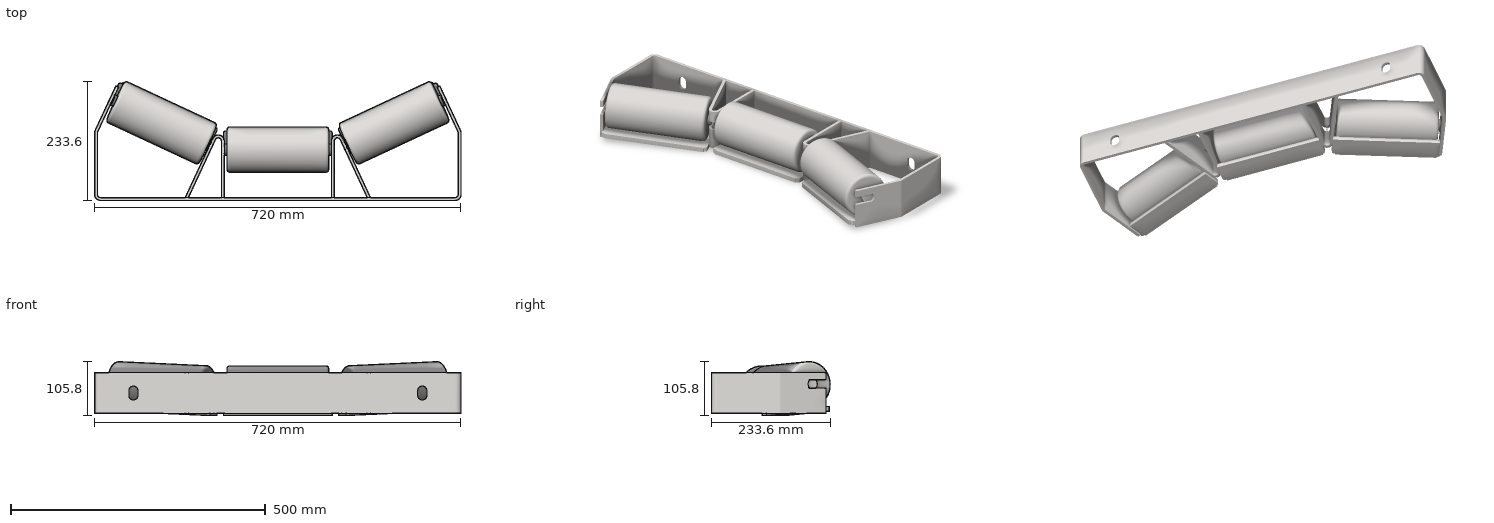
import cadquery as cq
import math

frame_length = 720.0
strip_height = 80.0
thickness = 6.0
bend_radius = 2 * thickness
arm_bend_y = 135.0
arm_tip_y = 225.0
lean_angle = 25.0

hole_offset = 284.0
hole_width = 18.0
hole_height = 27.0

bracket_top_y = 129.0

wall_gap = 210.0
drum_length = 200.0
drum_diameter = 89.0
drum_fillet = 6.0
axle_length = 214.0
axle_diameter = 22.0
axle_flats = 16.5
middle_axis_y = 100.0
middle_axis_z = 49.0
side_centre_x = 228.0
side_centre_y = 153.0
side_centre_z = 53.0
side_tilt = 2.4

guard_bottom = -53.0
guard_top = -44.0
guard_low_y = -1.0
guard_high_y = 39.5
ear_high_y = 37.0
ear_fillet = 4.0

drum_radius = drum_diameter / 2
lean = math.radians(lean_angle)
lean_sin = math.sin(lean)
lean_cos = math.cos(lean)
lean_tan = math.tan(lean)


def vertical_edges_at(body, x, y):
    """Select the edge parallel to Z through the given X and Y."""
    reach = 0.35
    return body.edges(cq.selectors.BoxSelector(
        (x - reach, y - reach, -strip_height), (x + reach, y + reach, 2 * strip_height)))


def make_strip():
    """Bent strip: flat base, two upright ends and two arms that lean inwards."""
    half = frame_length / 2
    inner_half = half - thickness
    inner_bend_y = arm_bend_y - thickness * math.tan(lean / 2)
    arm_rise = arm_tip_y - arm_bend_y
    tip_x = half - arm_rise * lean_tan
    right_half = [
        (0, 0),
        (half, 0),
        (half, arm_bend_y),
        (tip_x, arm_tip_y),
        (tip_x - thickness * lean_cos, arm_tip_y - thickness * lean_sin),
        (inner_half, inner_bend_y),
        (inner_half, thickness),
        (0, thickness),
    ]
    side = cq.Workplane("XY").polyline(right_half).close().extrude(strip_height)
    inner_radius = bend_radius - thickness
    bends = [
        (half, 0, bend_radius),
        (half, arm_bend_y, bend_radius),
        (inner_half, inner_bend_y, inner_radius),
        (inner_half, thickness, inner_radius),
    ]
    for x, y, radius in bends:
        side = vertical_edges_at(side, x, y).fillet(radius)
    strip = side.union(side.mirror("YZ"))
    holes = (
        cq.Workplane("XZ", origin=(0, 0, strip_height / 2))
        .pushPoints([(-hole_offset, 0), (hole_offset, 0)])
        .slot2D(hole_height, hole_width, 90)
        .extrude(-thickness)
    )
    return strip.cut(holes)


def bracket_outline(radius, centre_x, centre_y):
    """Solid inside a rounded top of the given radius with one upright and one leaning leg."""
    upright_x = centre_x - radius
    lean_x = centre_x + radius * lean_cos
    lean_y = centre_y + radius * lean_sin
    foot_x = lean_x + (lean_y - thickness) * lean_tan
    return (
        cq.Workplane("XY")
        .moveTo(upright_x, thickness)
        .lineTo(upright_x, centre_y)
        .threePointArc((centre_x, centre_y + radius), (lean_x, lean_y))
        .lineTo(foot_x, thickness)
        .close()
        .extrude(strip_height)
    )


def make_bracket():
    """Inner bracket on the +X side, standing on the base of the strip."""
    centre_x = wall_gap / 2 + bend_radius
    centre_y = bracket_top_y - bend_radius
    outside = bracket_outline(bend_radius, centre_x, centre_y)
    inside = bracket_outline(bend_radius - thickness, centre_x, centre_y)
    return outside.cut(inside)


def block(length, low_y, high_y, low_z, high_z):
    """Box centred on X = 0."""
    corner_block = cq.Workplane("XY").box(
        length, high_y - low_y, high_z - low_z, centered=(True, False, False))
    return corner_block.translate((0, low_y, low_z))


def cylinder_along_x(length, radius):
    """Cylinder centred on X = 0."""
    return cq.Workplane("YZ", origin=(-length / 2, 0, 0)).circle(radius).extrude(length)


def make_axle(length):
    """Round bar with two flats facing up and down."""
    half = axle_flats / 2
    flats = block(length, -axle_diameter, axle_diameter, -half, half)
    return cylinder_along_x(length, axle_diameter / 2).intersect(flats)


def make_guard():
    """Flat plate with a narrow ear at each end."""
    plate = block(drum_length, guard_low_y, guard_high_y, guard_bottom, guard_top)
    ears = block(axle_length, guard_low_y, ear_high_y, guard_bottom, guard_top)
    ears = ears.edges("|Z and >Y").fillet(ear_fillet)
    return plate.union(ears)


def make_roller():
    """Drum, axle and guard plate, with the axis along X through the origin."""
    drum = cylinder_along_x(drum_length, drum_radius).edges().fillet(drum_fillet)
    neck = cylinder_along_x(wall_gap, axle_diameter / 2)
    return drum.union(neck).union(make_axle(axle_length)).union(make_guard())


def make_slot():
    """Space cut from the two walls beside a roller, open towards +Y."""
    length = wall_gap + 3 * thickness
    half = axle_flats / 2
    return make_axle(length).union(block(length, 0, drum_radius, -half, half))


def place(body, side):
    """Move a body to the left (-1), middle (0) or right (1) roller position."""
    if side == 0:
        return body.translate((0, middle_axis_y, middle_axis_z))
    return (
        body.rotate((0, 0, 0), (0, 1, 0), -side * side_tilt)
        .rotate((0, 0, 0), (0, 0, 1), side * lean_angle)
        .translate((side * side_centre_x, side_centre_y, side_centre_z))
    )


positions = (-1, 0, 1)
rollers = [place(make_roller(), side) for side in positions]

strip = make_strip()
right_bracket = make_bracket()
brackets = [right_bracket.mirror("YZ"), right_bracket]
for side, roller in zip(positions, rollers):
    cutter = place(make_slot(), side)
    strip = strip.cut(cutter).cut(roller)
    brackets = [bracket.cut(cutter).cut(roller) for bracket in brackets]

result = cq.Compound.makeCompound([
    strip.solids().val(),
    *[bracket.solids().val() for bracket in brackets],
    *[roller.solids().val() for roller in rollers],
])